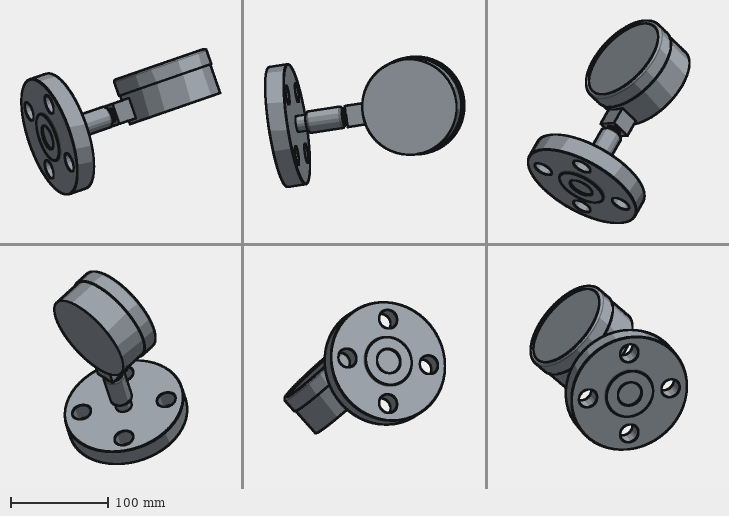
import cadquery as cq
import math

flange_diameter = 125.0
flange_thickness = 20.0
flange_chamfer = 0.5
bolt_circle_diameter = 89.0
bolt_hole_diameter = 19.2
bolt_hole_chamfer = 0.4
bolt_count = 4

face_height = 2.0
face_diameter = 50.8
face_root_fillet = 1.0
face_edge_chamfer = 0.5
diaphragm_diameter = 26.0
diaphragm_depth = 1.5
diaphragm_edge_chamfer = 0.4

stem_diameter = 16.5
stem_top = 32.1
sleeve_diameter = 22.5
sleeve_top = 70.6
sleeve_top_chamfer = 2.0
sleeve_bottom_chamfer = 2.7
sleeve_edge_fillet = 1.3
neck_diameter = 12.9
collar_diameter = 14.0
collar_height = 2.3

block_side = 22.0
block_bottom = 75.3

overall_length = 192.5
dial_tilt = -45.0
bezel_diameter = 100.5
bezel_front = 33.5
bezel_back = 16.4
case_diameter = 98.2
case_back = -14.8
bezel_rim_radius = 2.5
window_diameter = 91.6
window_depth = 1.5

flange_top = face_height + flange_thickness
gauge_center = overall_length - bezel_diameter / 2


def cylinder(diameter, start, end):
    """Solid cylinder along Y between two heights."""
    plane = cq.Workplane("XZ", origin=(0, start, 0))
    return plane.circle(diameter / 2).extrude(start - end)


def make_flange():
    disc = cylinder(flange_diameter, face_height, flange_top).edges().chamfer(flange_chamfer)
    bolt_hole = cq.Workplane("XZ", origin=(bolt_circle_diameter / 2, face_height, 0))
    bolt_hole = bolt_hole.circle(bolt_hole_diameter / 2).extrude(-flange_thickness)
    for index in range(bolt_count):
        disc = disc.cut(bolt_hole.rotate((0, 0, 0), (0, 1, 0), index * 360 / bolt_count))
    hole_rims = cq.selectors.RadiusNthSelector(0)
    disc = disc.edges("%CIRCLE").edges(hole_rims).chamfer(bolt_hole_chamfer)
    return disc.union(make_raised_face()).cut(make_diaphragm_recess())


def make_raised_face():
    """Low boss with a chamfered edge and a concave fillet at its root."""
    radius = face_diameter / 2
    fillet_start = face_height - face_root_fillet
    arc_inset = face_root_fillet * (1 - math.sqrt(0.5))
    profile = (
        cq.Workplane("XY")
        .lineTo(radius - face_edge_chamfer, 0)
        .lineTo(radius, face_edge_chamfer)
        .lineTo(radius, fillet_start)
        .threePointArc(
            (radius + arc_inset, face_height - arc_inset),
            (radius + face_root_fillet, face_height),
        )
        .lineTo(0, face_height)
        .close()
    )
    return profile.revolve(360, (0, 0, 0), (0, 1, 0))


def make_diaphragm_recess():
    radius = diaphragm_diameter / 2
    profile = (
        cq.Workplane("XY")
        .lineTo(radius, 0)
        .lineTo(radius - diaphragm_edge_chamfer, diaphragm_edge_chamfer)
        .lineTo(radius - diaphragm_edge_chamfer, diaphragm_depth)
        .lineTo(0, diaphragm_depth)
        .close()
    )
    return profile.revolve(360, (0, 0, 0), (0, 1, 0))


def make_stem():
    stem = cylinder(stem_diameter, flange_top, stem_top)
    neck = cylinder(neck_diameter, sleeve_top, block_bottom)
    collar = cylinder(collar_diameter, block_bottom - collar_height, block_bottom)
    return stem.union(make_sleeve()).union(neck).union(collar)


def make_sleeve():
    """Cylinder with a cone at each end, blended into the straight side."""
    sleeve = cylinder(sleeve_diameter, stem_top, sleeve_top)
    sleeve = sleeve.faces("<Y").edges().chamfer(sleeve_bottom_chamfer)
    sleeve = sleeve.faces(">Y").edges().chamfer(sleeve_top_chamfer)
    shoulders = cq.selectors.RadiusNthSelector(-1)
    return sleeve.edges(shoulders).fillet(sleeve_edge_fillet)


def make_block():
    plane = cq.Workplane("XZ", origin=(0, block_bottom, 0)).transformed(rotate=(0, 0, 45))
    return plane.rect(block_side, block_side).extrude(block_bottom - gauge_center)


def make_gauge():
    """Case, bezel and recessed window, built along Z and then tilted."""
    bezel_radius = bezel_diameter / 2
    case_radius = case_diameter / 2
    window_radius = window_diameter / 2
    rim_center_radius = bezel_radius - bezel_rim_radius
    rim_center = bezel_front - bezel_rim_radius
    rim_inner_rise = math.sqrt(bezel_rim_radius**2 - (rim_center_radius - window_radius) ** 2)
    profile = (
        cq.Workplane("XZ")
        .moveTo(0, case_back)
        .lineTo(case_radius, case_back)
        .lineTo(case_radius, bezel_back)
        .lineTo(bezel_radius, bezel_back)
        .lineTo(bezel_radius, rim_center)
        .threePointArc(
            (rim_center_radius, bezel_front),
            (window_radius, rim_center + rim_inner_rise),
        )
        .lineTo(window_radius, bezel_front - window_depth)
        .lineTo(0, bezel_front - window_depth)
        .close()
    )
    gauge = profile.revolve(360, (0, 0, 0), (0, 1, 0))
    gauge = gauge.rotate((0, 0, 0), (0, 1, 0), dial_tilt)
    return gauge.translate((0, gauge_center, 0))


result = make_flange().union(make_stem()).union(make_block()).union(make_gauge())